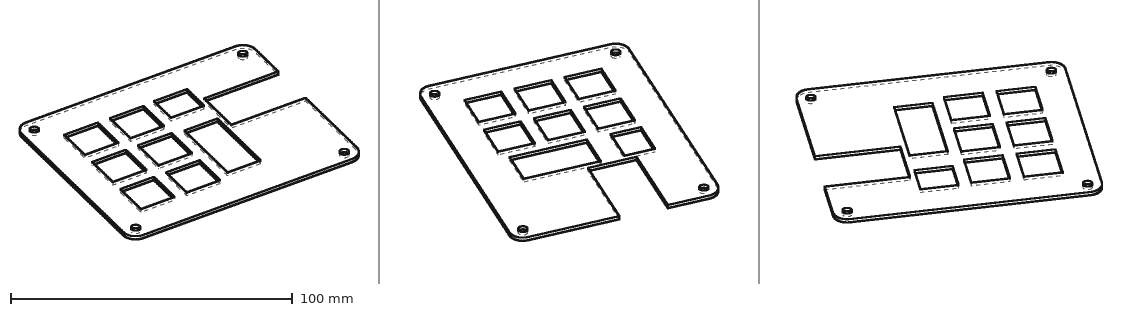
import cadquery as cq

PLATE_WIDTH = 79.1
PLATE_LENGTH = 97.1
PLATE_THICKNESS = 1.5
CORNER_RADIUS = 5.0

HOLE_DIAMETER = 3.4
HOLE_INSET = 5.1

SLOT_LEFT = -18.7
SLOT_WIDTH = 18.4
SLOT_DEPTH = 30.9

KEY_SIZE = 14.0
KEY_PITCH = 19.0
KEY_COLUMNS = 3
KEY_ROWS = 2
KEY_CENTER_X = -0.1
KEY_BACK_ROW_Y = -10.0

WINDOW_HEIGHT = 13.8
WINDOW_CENTER_Y = 8.5
SMALL_WINDOW_WIDTH = 11.55
SMALL_WINDOW_CENTER_X = -20.9
WIDE_WINDOW_WIDTH = 29.3
WIDE_WINDOW_CENTER_X = 8.6


def rectangular_cutter(width, length, center_x, center_y):
    """Rectangular block that passes through the full plate thickness."""
    return (
        cq.Workplane("XY")
        .center(center_x, center_y)
        .rect(width, length)
        .extrude(PLATE_THICKNESS)
    )


def make_plate():
    """Flat plate with rounded corners and four mounting holes."""
    return (
        cq.Workplane("XY")
        .rect(PLATE_WIDTH, PLATE_LENGTH)
        .extrude(PLATE_THICKNESS)
        .edges("|Z")
        .fillet(CORNER_RADIUS)
        .faces(">Z")
        .workplane(origin=(0, 0, PLATE_THICKNESS))
        .rect(PLATE_WIDTH - 2 * HOLE_INSET, PLATE_LENGTH - 2 * HOLE_INSET, forConstruction=True)
        .vertices()
        .hole(HOLE_DIAMETER)
    )


def cut_slot(plate):
    """Slot running inward from the back edge."""
    center_x = SLOT_LEFT + SLOT_WIDTH / 2
    center_y = (PLATE_LENGTH - SLOT_DEPTH) / 2
    return plate.cut(rectangular_cutter(SLOT_WIDTH, SLOT_DEPTH, center_x, center_y))


def cut_windows(plate):
    """Small and wide windows side by side."""
    windows = (
        (SMALL_WINDOW_WIDTH, SMALL_WINDOW_CENTER_X),
        (WIDE_WINDOW_WIDTH, WIDE_WINDOW_CENTER_X),
    )
    for width, center_x in windows:
        plate = plate.cut(rectangular_cutter(width, WINDOW_HEIGHT, center_x, WINDOW_CENTER_Y))
    return plate


def cut_keys(plate):
    """Grid of square key openings."""
    for row in range(KEY_ROWS):
        center_y = KEY_BACK_ROW_Y - row * KEY_PITCH
        for column in range(KEY_COLUMNS):
            center_x = KEY_CENTER_X + (column - (KEY_COLUMNS - 1) / 2) * KEY_PITCH
            plate = plate.cut(rectangular_cutter(KEY_SIZE, KEY_SIZE, center_x, center_y))
    return plate


plate = make_plate()
plate = cut_slot(plate)
plate = cut_windows(plate)
result = cut_keys(plate)